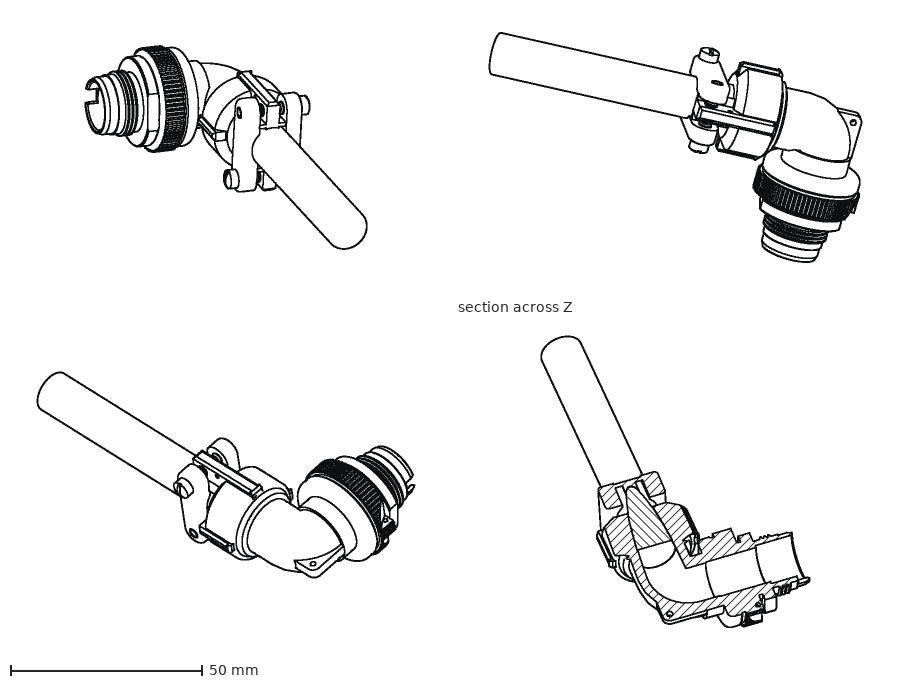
import cadquery as cq
import math

ARM_TILT = 7.8

TUBE_RADIUS = 8.0
BEND_RADIUS = 5.8
ELBOW_BORE_RADIUS = 5.5
CABLE_RADIUS = 5.6
PLUG_BODY_RADIUS = 8.8

BEND_END_Y = -BEND_RADIUS
BODY_BACK_Y = -6.1
BACK_RING_Y = -10.8
KNURL_BACK_Y = -15.5
KNURL_FRONT_Y = -20.6
FLANGE_BACK_Y = -21.5
FLANGE_FRONT_Y = -24.7
THREAD_BACK_Y = -26.4
THREAD_FRONT_Y = -29.7
NOSE_Y = -31.6
TIP_Y = -35.2

BACK_RING_RADIUS = 13.0
BACK_RING_ROUND = 1.6
BACK_RING_BEVEL = 0.4
KNURL_RADIUS = 13.7
KNURL_DEPTH = 0.4
KNURL_TEETH = 68
FLANGE_RADIUS = 11.8
FLANGE_FLAT_X = 10.7
FLANGE_BEVEL = 0.3
NECK_RADIUS = 7.9
PLUG_THREAD_RADIUS = 8.5
PLUG_THREAD_TURNS = 3
NOSE_RADIUS = 7.6
TIP_CHAMFER_LENGTH = 1.2
TIP_CHAMFER_DEPTH = 0.4

TIP_BORE_RADIUS = 6.3
TIP_BORE_DEPTH = 10.4
TIP_BORE_CHAMFER = 0.4
PLUG_BORE_RADIUS = 5.7
SLOT_WIDTH = 4.2
SLOT_DEPTH = 3.3

TAB_WIDTH = 3.2
TAB_HOLE_X = -11.5
TAB_HOLE_Y = -19.3
SCOOP_INNER_X = -10.2
SCOOP_MID = (-11.8, -17.6)

FIN_THICKNESS = 3.0
FIN_TOP_Y = 5.5
FIN_CORNER_RADIUS = 2.0
FIN_HOLE_X = -6.6
FIN_HOLE_Y = 3.4
FIN_HOLE_DIAMETER = 1.5
WIRE_HOLE_DIAMETER = 1.1

RIDGE_START_X = 12.8
RIDGE_PEAK_X = 13.4
RIDGE_VALLEY_X = 13.9
RIDGE_PEAK_RADIUS = 9.3
NUT_START_X = 14.8
NUT_FACE_RADIUS = 10.1
NUT_END_X = 26.6
NUT_RADIUS = 11.4
NUT_FRONT_ROUND = 0.9
NUT_BEVEL_LENGTH = 2.8
NUT_BEVEL_DEPTH = 2.1

BAR_CHAMFER = 0.7
BAR_BLOCK_LENGTH = 1.0
RAIL_START_X = 15.0
RAIL_END_X = 36.3
RAIL_HEIGHT = 12.7
RAIL_THICKNESS = 3.6
RAIL_HOLE_X = 27.8
RAIL_HOLE_Z = 10.8
RIB_END_X = 26.4
RIB_HEIGHT = 12.5
RIB_THICKNESS = 2.5

TONGUE_WIDTH = 8.1
TONGUE_THICKNESS = 1.0
TONGUE_TOP_Z = 6.7

SCREW_X = 33.0
SCREW_Z = 9.4
STRAP_RADIUS = 3.6
STRAP_INNER_Y = 3.7
STRAP_OUTER_Y = 8.3
STRAP_ROUND = 1.0
HEAD_RADIUS = 2.5
HEAD_HEIGHT = 3.0
HEAD_DOME_HEIGHT = 0.8
HEAD_SLOT_WIDTH = 0.9
HEAD_SLOT_DEPTH = 1.0
SCREW_RADIUS = 1.7
SCREW_TURNS = 8
SCREW_THREAD_DEPTH = 0.4
SCREW_RECESS_RADIUS = 1.5
SCREW_RECESS_DEPTH = 0.6
SCREW_END_RADIUS = 1.0

CABLE_START_X = NUT_START_X
CABLE_END_X = 90.2
CABLE_END_ROUND = 0.5


def tilt(shape):
    """Turn a shape from the arm's own frame into its sloping position."""
    return shape.rotate((0, 0, 0), (0, 1, 0), ARM_TILT)


def cylinder_x(radius, start, end):
    return cq.Workplane("YZ", origin=(start, 0, 0)).circle(radius).extrude(end - start)


def cylinder_y(radius, start, end, x=0, z=0):
    """Cylinder along Y from the higher station `start` down to `end`."""
    return cq.Workplane("XZ", origin=(x, start, z)).circle(radius).extrude(start - end)


def thread_points(root, crest, start, end, turns):
    """Saw-tooth profile of a thread drawn as separate rings, as (radius, station) points."""
    pitch = (end - start) / turns
    points = [(root, start)]
    for turn in range(turns):
        points.append((crest, start + (turn + 0.3) * pitch))
        points.append((crest, start + (turn + 0.6) * pitch))
        points.append((root, start + (turn + 1) * pitch))
    return points


def bend(radius):
    """Quarter turn of a round section, cut off where it would cross the turning axis."""
    section = cq.Workplane("XZ", origin=(0, BEND_END_Y, 0))
    if radius > BEND_RADIUS:
        half_chord = math.sqrt(radius**2 - BEND_RADIUS**2)
        section = section.moveTo(BEND_RADIUS, half_chord)
        section = section.threePointArc((-radius, 0), (BEND_RADIUS, -half_chord)).close()
    else:
        section = section.circle(radius)
    return section.revolve(90, (BEND_RADIUS, 0, 0), (BEND_RADIUS, -1, 0))


def elbow(radius):
    """The bend with its two straight legs, down to the plug body and out to the nut."""
    plug_leg = cylinder_y(radius, BEND_END_Y, BACK_RING_Y)
    arm_leg = cylinder_x(radius, BEND_RADIUS, NUT_START_X)
    return bend(radius).union(plug_leg).union(arm_leg)


def fin():
    """Flat fin on the back of the bend, drilled for a lockwire."""
    left = -PLUG_BODY_RADIUS
    plate = (
        cq.Workplane("XY", origin=(0, 0, -FIN_THICKNESS / 2))
        .moveTo(left, BODY_BACK_Y)
        .lineTo(left, FIN_TOP_Y - FIN_CORNER_RADIUS)
        .radiusArc((left + FIN_CORNER_RADIUS, FIN_TOP_Y), FIN_CORNER_RADIUS)
        .lineTo(BEND_RADIUS, FIN_TOP_Y)
        .lineTo(BEND_RADIUS, BODY_BACK_Y)
        .close()
        .extrude(FIN_THICKNESS)
    )
    hole = (
        cq.Workplane("XY", origin=(0, 0, -FIN_THICKNESS))
        .center(FIN_HOLE_X, FIN_HOLE_Y)
        .circle(FIN_HOLE_DIAMETER / 2)
        .extrude(2 * FIN_THICKNESS)
    )
    return plate.cut(hole)


def plug_barrel():
    """Turned body of the plug, from the elbow leg to the open tip."""
    thread = thread_points(NECK_RADIUS, PLUG_THREAD_RADIUS, THREAD_BACK_Y, THREAD_FRONT_Y, PLUG_THREAD_TURNS)
    outline = [
        (0, BODY_BACK_Y),
        (PLUG_BODY_RADIUS, BODY_BACK_Y),
        (PLUG_BODY_RADIUS, FLANGE_FRONT_Y),
        (NECK_RADIUS, FLANGE_FRONT_Y),
        *thread,
        (NECK_RADIUS, NOSE_Y),
        (NOSE_RADIUS, NOSE_Y),
        (NOSE_RADIUS, TIP_Y + TIP_CHAMFER_LENGTH),
        (NOSE_RADIUS - TIP_CHAMFER_DEPTH, TIP_Y),
        (0, TIP_Y),
    ]
    return cq.Workplane("XY").polyline(outline).close().revolve(360, (0, 0, 0), (0, 1, 0))


def back_ring():
    """Smooth ring behind the knurl, rounded at the back and bevelled at the front."""
    front_y = KNURL_BACK_Y + 2 * BACK_RING_BEVEL
    ring = cylinder_y(BACK_RING_RADIUS, BACK_RING_Y, front_y)
    ring = ring.faces(">Y").edges().fillet(BACK_RING_ROUND)
    ring = ring.faces("<Y").edges().chamfer(BACK_RING_BEVEL)
    return ring.union(cylinder_y(BACK_RING_RADIUS - BACK_RING_BEVEL, BACK_RING_Y - BACK_RING_ROUND, KNURL_BACK_Y))


def knurled_ring():
    """Coupling ring with straight teeth all round."""
    pitch = 2 * math.pi / KNURL_TEETH
    tooth = [
        (KNURL_RADIUS - KNURL_DEPTH, 0.0),
        (KNURL_RADIUS - KNURL_DEPTH, 0.5),
        (KNURL_RADIUS, 0.75),
    ]
    outline = [
        (radius * math.cos((index + part) * pitch), radius * math.sin((index + part) * pitch))
        for index in range(KNURL_TEETH)
        for radius, part in tooth
    ]
    ring = (
        cq.Workplane("XZ", origin=(0, KNURL_BACK_Y, 0))
        .polyline(outline)
        .close()
        .extrude(KNURL_BACK_Y - KNURL_FRONT_Y)
    )
    return ring.cut(tilt(tab_scoop()))


def tab_scoop():
    """Hollow cut out of the ring's -X side, leaving the lockwire tab with its hole."""
    scoop = (
        cq.Workplane("XY", origin=(0, 0, -KNURL_RADIUS))
        .moveTo(SCOOP_INNER_X, KNURL_FRONT_Y)
        .threePointArc(SCOOP_MID, (-KNURL_RADIUS, KNURL_BACK_Y))
        .lineTo(-KNURL_RADIUS, KNURL_FRONT_Y)
        .close()
        .extrude(2 * KNURL_RADIUS)
    )
    tab = cq.Workplane("XY").box(4 * KNURL_RADIUS, 4 * KNURL_RADIUS, TAB_WIDTH)
    hole = (
        cq.Workplane("XY", origin=(0, 0, -TAB_WIDTH))
        .center(TAB_HOLE_X, TAB_HOLE_Y)
        .circle(WIRE_HOLE_DIAMETER / 2)
        .extrude(2 * TAB_WIDTH)
    )
    return scoop.cut(tab).union(hole)


def flange():
    """Round flange with a flat on each side."""
    disc = cylinder_y(FLANGE_RADIUS, FLANGE_BACK_Y, FLANGE_FRONT_Y)
    disc = disc.edges().chamfer(FLANGE_BEVEL)
    flats = cq.Workplane("XY", origin=(0, (FLANGE_BACK_Y + FLANGE_FRONT_Y) / 2, 0)).box(
        2 * FLANGE_FLAT_X, FLANGE_BACK_Y - FLANGE_FRONT_Y, 2 * FLANGE_RADIUS
    )
    return disc.intersect(flats)


def plug_bore():
    """Bore through the plug, wider at the tip, with the key slot on the -X side."""
    tip_bore_end = TIP_Y + TIP_BORE_DEPTH
    outline = [
        (0, BACK_RING_Y),
        (PLUG_BORE_RADIUS, BACK_RING_Y),
        (PLUG_BORE_RADIUS, tip_bore_end),
        (TIP_BORE_RADIUS, tip_bore_end),
        (TIP_BORE_RADIUS, TIP_Y + TIP_BORE_CHAMFER),
        (TIP_BORE_RADIUS + TIP_BORE_CHAMFER, TIP_Y),
        (0, TIP_Y),
    ]
    bore = cq.Workplane("XY").polyline(outline).close().revolve(360, (0, 0, 0), (0, 1, 0))
    slot = cq.Workplane("XY", origin=(-NECK_RADIUS / 2, TIP_Y + SLOT_DEPTH / 2, 0)).box(
        NECK_RADIUS, SLOT_DEPTH, SLOT_WIDTH
    )
    return bore.union(tilt(slot))


def nut():
    """Turned nut with a ridged face towards the elbow and a bevel towards the cable."""
    ridges = [
        (RIDGE_START_X, 0),
        (RIDGE_START_X, TUBE_RADIUS),
        (RIDGE_PEAK_X, RIDGE_PEAK_RADIUS),
        (RIDGE_VALLEY_X, TUBE_RADIUS),
        (NUT_START_X, NUT_FACE_RADIUS),
        (NUT_START_X, 0),
    ]
    face = cq.Workplane("XY").polyline(ridges).close().revolve(360, (0, 0, 0), (1, 0, 0))
    body = cylinder_x(NUT_RADIUS, NUT_START_X, NUT_END_X)
    body = body.faces("<X").edges().fillet(NUT_FRONT_ROUND)
    body = body.faces(">X").edges().chamfer(NUT_BEVEL_DEPTH, NUT_BEVEL_LENGTH)
    return body.union(face)


def bar(end_x, height, thickness):
    """Bar standing up from the arm's axis, chamfered round its outer face, with a square block in front."""
    bar_length = end_x - RAIL_START_X
    beam = upright_box(bar_length, thickness, height).faces(">Z").edges().chamfer(BAR_CHAMFER)
    block = upright_box(BAR_BLOCK_LENGTH, thickness, height)
    block = block.faces(">Z").edges("<X").chamfer(BAR_CHAMFER)
    return beam.union(block)


def upright_box(length, thickness, height):
    """Box from the arm's axis outward, starting where the rails start."""
    box = cq.Workplane("XY").box(length, thickness, height, centered=(False, True, False))
    return box.translate((RAIL_START_X, 0, 0))


def turned_about_arm(shape, angle):
    return shape.rotate((0, 0, 0), (1, 0, 0), angle)


def tongue():
    """Plate above the cable, from the nut to the end of the rail."""
    start_x = NUT_END_X - NUT_BEVEL_LENGTH
    plate = cq.Workplane("YZ", origin=(start_x, 0, TONGUE_TOP_Z - TONGUE_THICKNESS / 2))
    return plate.slot2D(TONGUE_WIDTH, TONGUE_THICKNESS).extrude(RAIL_END_X - start_x)


def rail():
    """Upper rail with its lockwire hole and the tongue it stands on."""
    hole = cylinder_y(WIRE_HOLE_DIAMETER / 2, RAIL_THICKNESS, -RAIL_THICKNESS, RAIL_HOLE_X, RAIL_HOLE_Z)
    return bar(RAIL_END_X, RAIL_HEIGHT, RAIL_THICKNESS).union(tongue()).cut(hole)


def strap():
    """Clamp strap on the +Y side of the cable, with its outer edge rounded."""
    return (
        cq.Workplane("XZ", origin=(SCREW_X, STRAP_OUTER_Y, 0))
        .slot2D(2 * (SCREW_Z + STRAP_RADIUS), 2 * STRAP_RADIUS, 90)
        .extrude(STRAP_OUTER_Y - STRAP_INNER_Y)
        .faces(">Y")
        .edges()
        .fillet(STRAP_ROUND)
    )


def screw_end_recess():
    """Ring-shaped groove around the screw end, in the outer face of the -Y strap."""
    bottom_y = -STRAP_OUTER_Y + SCREW_RECESS_DEPTH
    hole = cylinder_y(SCREW_RECESS_RADIUS, bottom_y, -STRAP_OUTER_Y, SCREW_X, SCREW_Z)
    return hole.cut(cylinder_y(SCREW_END_RADIUS, bottom_y, -STRAP_OUTER_Y, SCREW_X, SCREW_Z))


def screw():
    """Upper screw: slotted head outside the +Y strap, threaded shank through to the -Y strap."""
    root = SCREW_RADIUS - SCREW_THREAD_DEPTH
    half_length = (STRAP_INNER_Y + STRAP_OUTER_Y) / 2
    profile = [
        (0, -half_length),
        *thread_points(root, SCREW_RADIUS, -half_length, half_length, SCREW_TURNS),
        (0, half_length),
    ]
    shank = (
        cq.Workplane("XY", origin=(SCREW_X, 0, SCREW_Z))
        .polyline(profile)
        .close()
        .revolve(360, (0, 0, 0), (0, 1, 0))
    )
    head_top = STRAP_OUTER_Y + HEAD_HEIGHT
    dome_y = head_top - HEAD_DOME_HEIGHT
    dome_radius = (HEAD_RADIUS**2 + HEAD_DOME_HEIGHT**2) / (2 * HEAD_DOME_HEIGHT)
    head = (
        cq.Workplane("XY", origin=(SCREW_X, 0, SCREW_Z))
        .moveTo(0, STRAP_INNER_Y)
        .lineTo(HEAD_RADIUS, STRAP_INNER_Y)
        .lineTo(HEAD_RADIUS, dome_y)
        .radiusArc((0, head_top), -dome_radius)
        .close()
        .revolve(360, (0, 0, 0), (0, 1, 0))
    )
    slot = cq.Workplane("XY", origin=(SCREW_X, head_top, SCREW_Z)).box(
        HEAD_SLOT_WIDTH, 2 * HEAD_SLOT_DEPTH, 2 * STRAP_RADIUS
    )
    return shank.union(head.cut(slot))


def clamp():
    """Two straps across the cable and the two screws that hold them, facing opposite ways."""
    shape = cq.Workplane("XY")
    for angle in (0, 180):
        shape = shape.union(turned_about_arm(strap(), angle))
    for angle in (0, 180):
        shape = shape.cut(turned_about_arm(screw_end_recess(), angle))
        shape = shape.union(turned_about_arm(screw(), angle))
    return shape


def make_connector():
    """Right-angle plug with its nut, rails and cable clamp as one solid."""
    plug = plug_barrel().union(back_ring()).union(knurled_ring()).union(flange())

    arm = elbow(TUBE_RADIUS).union(fin()).union(nut())
    side_rib = bar(RIB_END_X, RIB_HEIGHT, RIB_THICKNESS)
    for angle in (0, 180):
        arm = arm.union(turned_about_arm(rail(), angle))
        arm = arm.union(turned_about_arm(side_rib, angle + 90))
    arm = arm.union(clamp())

    cable_hole = cylinder_x(CABLE_RADIUS, CABLE_START_X, CABLE_END_X)
    elbow_bore = elbow(ELBOW_BORE_RADIUS)
    shell = plug.union(tilt(arm.cut(cable_hole)))
    return shell.cut(tilt(elbow_bore)).cut(plug_bore())


def make_cable():
    """Round cable from the nut to its free end."""
    rod = cylinder_x(CABLE_RADIUS, CABLE_START_X, CABLE_END_X)
    return tilt(rod.faces(">X").edges().fillet(CABLE_END_ROUND))


connector = make_connector()
cable = make_cable()

result = cq.Compound.makeCompound([connector.val(), cable.val()])